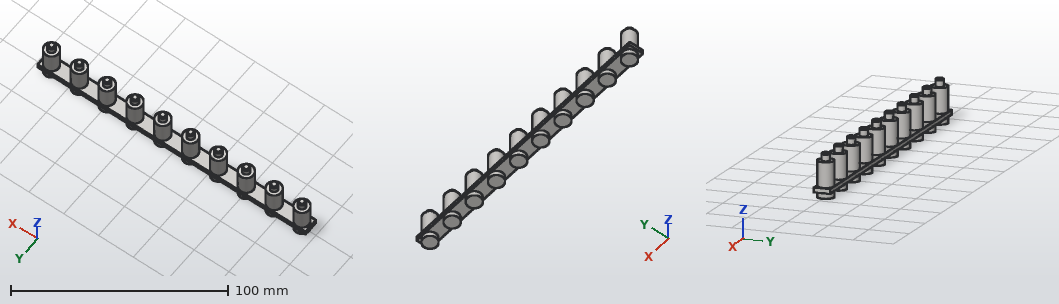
import cadquery as cq

strip_length = 154.0
strip_width = 8.0
strip_thickness = 2.3

total_height = 21.1
post_diameter = strip_width
foot_height = 3.0
stud_diameter = 4.0
stud_height = 3.7
stud_chamfer = 0.6
shoulder_height = total_height - stud_height

post_count = 10
end_gap = 1.0
first_post_x = -strip_length / 2 + end_gap + post_diameter / 2
post_pitch = -2 * first_post_x / (post_count - 1)


def make_strip():
    """Flat bar carrying the posts, level with the top of their feet."""
    return (
        cq.Workplane("XY", origin=(0, 0, foot_height))
        .box(strip_length, strip_width, strip_thickness, centered=(True, True, False))
    )


def make_post():
    """Foot and sleeve as one cylinder, with a chamfered stud on its shoulder."""
    body = cq.Workplane("XY").circle(post_diameter / 2).extrude(shoulder_height)
    stud = (
        cq.Workplane("XY", origin=(0, 0, shoulder_height))
        .circle(stud_diameter / 2)
        .extrude(stud_height)
        .faces(">Z")
        .chamfer(stud_chamfer)
    )
    return body.union(stud)


result = make_strip()
post = make_post()
for index in range(post_count):
    post_x = first_post_x + index * post_pitch
    result = result.union(post.translate((post_x, 0, 0)))